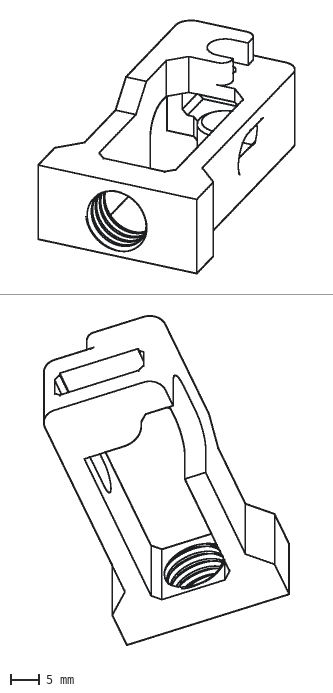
import cadquery as cq
import math

LENGTH = 53.25
FLANGE_WIDTH = 31.0
BODY_WIDTH = 23.0
LOW_HEIGHT = 15.0
FULL_HEIGHT = 19.5
FLANGE_LENGTH = 7.15
FLANGE_TAPER = (FLANGE_WIDTH - BODY_WIDTH) / 2
BACK_RADIUS = 3.0

WINDOW_WIDTH = 15.0
WINDOW_BACK = 40.5
WINDOW_BACK_CHAMFER = 3.0
WINDOW_FRONT_CHAMFER = 1.5

RAISED_RIGHT = 3.0
RAISED_CORNER_RADIUS = 2.0
RAMP_BOTTOM = 24.4
RAMP_LENGTH = FULL_HEIGHT - LOW_HEIGHT

PIN_Y = LENGTH - 7.0
PIN_DIAMETER = 3.8
PIN_HOLE_BOTTOM = 10.9
NOTCH_WIDTH = 6.4

SIDE_FRONT = 30.6
SIDE_BACK = 46.5
SIDE_HEIGHT = 12.25
SIDE_RADIUS = 5.0

SLOT_BOTTOM = 4.0
SLOT_HEIGHT = 7.0
SLOT_FRONT = 28.2
SLOT_BACK = 41.25
SLOT_RIM_RADIUS = 2.0

CHANNEL_FLOOR = 4.0
CHANNEL_TOP = 10.5
RAIL_TOP = 10.0
RAIL_DEPTH = 1.0

SEAT_RADIUS = 5.0
SEAT_RISE = 0.5
SEAT_TOP_RADIUS = 4.2
LEDGE_CHAMFER = 1.25

THREAD_Z = LOW_HEIGHT / 2
THREAD_PITCH = 1.75
THREAD_MINOR_RADIUS = 5.55
THREAD_MAJOR_RADIUS = 6.35
THREAD_ROOT_WIDTH = THREAD_PITCH / 8
THREAD_MOUTH_WIDTH = THREAD_PITCH * 0.75
THREAD_OVERLAP = 0.1
THREAD_START_ANGLE = 100.0


def box(x_range, y_range, z_range):
    size = [high - low for low, high in (x_range, y_range, z_range)]
    corner = (x_range[0], y_range[0], z_range[0])
    return cq.Workplane("XY").box(*size, centered=False).translate(corner)


def make_frame():
    half_flange = FLANGE_WIDTH / 2
    half_body = BODY_WIDTH / 2
    taper_end = FLANGE_LENGTH + FLANGE_TAPER
    right_side = [
        (half_flange, 0),
        (half_flange, FLANGE_LENGTH),
        (half_body, taper_end),
        (half_body, LENGTH),
    ]
    left_side = [(-x, y) for x, y in reversed(right_side)]
    frame = cq.Workplane("XY").polyline(right_side + left_side).close().extrude(FULL_HEIGHT)
    return frame.edges("|Z and >Y").fillet(BACK_RADIUS)


def make_window():
    window = box(
        (-WINDOW_WIDTH / 2, WINDOW_WIDTH / 2), (FLANGE_LENGTH, WINDOW_BACK), (0, FULL_HEIGHT)
    )
    window = window.edges("|Z and >Y").chamfer(WINDOW_BACK_CHAMFER)
    return window.edges("|Z and <Y").chamfer(WINDOW_FRONT_CHAMFER)


def make_step():
    """Material above the low top face that lies outside the raised part."""
    half_flange = FLANGE_WIDTH / 2
    ramp_top = RAMP_BOTTOM + RAMP_LENGTH
    strip = (
        cq.Workplane("YZ")
        .polyline([
            (RAMP_BOTTOM, LOW_HEIGHT),
            (ramp_top, FULL_HEIGHT),
            (LENGTH, FULL_HEIGHT),
            (LENGTH, LOW_HEIGHT),
        ])
        .close()
        .extrude(half_flange, both=True)
    )
    rear = box((-half_flange, RAISED_RIGHT), (WINDOW_BACK, LENGTH), (LOW_HEIGHT, FULL_HEIGHT))
    rear = rear.edges("|Z and >X").fillet(RAISED_CORNER_RADIUS)
    wall = box((-half_flange, 0), (RAMP_BOTTOM, LENGTH), (LOW_HEIGHT, FULL_HEIGHT))
    raised = strip.intersect(rear.union(wall)).cut(make_notch())
    return box((-half_flange, half_flange), (0, LENGTH), (LOW_HEIGHT, FULL_HEIGHT)).cut(raised)


def make_notch():
    half_width = NOTCH_WIDTH / 2
    round_end = (
        cq.Workplane("XY", origin=(0, PIN_Y, LOW_HEIGHT))
        .circle(half_width)
        .extrude(FULL_HEIGHT - LOW_HEIGHT)
    )
    mouth = box(
        (0, RAISED_RIGHT), (PIN_Y - half_width, PIN_Y + half_width), (LOW_HEIGHT, FULL_HEIGHT)
    )
    return round_end.union(mouth)


def make_pin_hole():
    return (
        cq.Workplane("XY", origin=(0, PIN_Y, PIN_HOLE_BOTTOM))
        .circle(PIN_DIAMETER / 2)
        .extrude(LOW_HEIGHT - PIN_HOLE_BOTTOM)
    )


def make_side_opening():
    opening = box((-BODY_WIDTH / 2, WINDOW_WIDTH / 2), (SIDE_FRONT, SIDE_BACK), (0, SIDE_HEIGHT))
    return opening.edges("|X and >Z").fillet(SIDE_RADIUS)


def make_wall_slot():
    """Slot along Y whose rim is rounded outward at the +X face of the wall."""
    wall_outside = BODY_WIDTH / 2
    wall_inside = WINDOW_WIDTH / 2
    center_y = (SLOT_FRONT + SLOT_BACK) / 2
    center_z = SLOT_BOTTOM + SLOT_HEIGHT / 2
    slot = (
        cq.Workplane("YZ", origin=(wall_inside, center_y, center_z))
        .slot2D(SLOT_BACK - SLOT_FRONT, SLOT_HEIGHT)
        .extrude(wall_outside - wall_inside)
    )
    wall = box((wall_inside, wall_outside), (0, LENGTH), (0, LOW_HEIGHT))
    rounded_wall = wall.cut(slot).faces(">X").edges("%CIRCLE").fillet(SLOT_RIM_RADIUS)
    return wall.cut(rounded_wall)


def make_channel():
    half_width = WINDOW_WIDTH / 2
    rail_x = half_width + RAIL_DEPTH
    right_side = [
        (half_width, CHANNEL_FLOOR),
        (rail_x, CHANNEL_FLOOR + RAIL_DEPTH),
        (rail_x, RAIL_TOP - RAIL_DEPTH),
        (half_width, RAIL_TOP),
        (half_width, CHANNEL_TOP),
    ]
    left_side = [(-x, z) for x, z in reversed(right_side)]
    start = SLOT_FRONT + SLOT_HEIGHT / 2
    channel = cq.Workplane("XZ").polyline(right_side + left_side).close().extrude(start - LENGTH)
    return channel.translate((0, start, 0))


def make_ledge():
    """Floor that reaches forward under the pin, rounded on its -X side."""
    front = PIN_Y - SEAT_RADIUS
    right = WINDOW_WIDTH / 2
    shoulder = SIDE_BACK - LEDGE_CHAMFER
    floor = (
        cq.Workplane("XY")
        .polyline([
            (-SEAT_RADIUS - LEDGE_CHAMFER, SIDE_BACK),
            (-SEAT_RADIUS, shoulder),
            (0, shoulder),
            (0, front),
            (right, front),
            (right, SIDE_BACK),
        ])
        .close()
        .extrude(CHANNEL_FLOOR)
    )
    nose = cq.Workplane("XY", origin=(0, PIN_Y, 0)).circle(SEAT_RADIUS).extrude(CHANNEL_FLOOR)
    return floor.union(nose)


def make_seat():
    """Low cone frustum."""
    seat = cq.Workplane("XY", origin=(0, PIN_Y, CHANNEL_FLOOR)).circle(SEAT_RADIUS)
    taper = math.degrees(math.atan2(SEAT_RADIUS - SEAT_TOP_RADIUS, SEAT_RISE))
    return seat.extrude(SEAT_RISE, taper=taper)


def make_threaded_hole():
    """Bore with a helical groove, both along +Y."""
    bore = cq.Workplane("XY").circle(THREAD_MINOR_RADIUS).extrude(FLANGE_LENGTH)
    helix_height = FLANGE_LENGTH + 2 * THREAD_PITCH
    helix = cq.Wire.makeHelix(THREAD_PITCH, helix_height, THREAD_MINOR_RADIUS)
    inner = THREAD_MINOR_RADIUS - THREAD_OVERLAP
    groove = (
        cq.Workplane("XZ")
        .polyline([
            (inner, -THREAD_MOUTH_WIDTH / 2),
            (THREAD_MAJOR_RADIUS, -THREAD_ROOT_WIDTH / 2),
            (THREAD_MAJOR_RADIUS, THREAD_ROOT_WIDTH / 2),
            (inner, THREAD_MOUTH_WIDTH / 2),
        ])
        .close()
        .sweep(cq.Workplane(helix), isFrenet=True)
        .translate((0, 0, -THREAD_PITCH))
    )
    flange_slab = cq.Workplane("XY").circle(FLANGE_WIDTH / 2).extrude(FLANGE_LENGTH)
    thread = bore.union(groove.intersect(flange_slab))
    thread = thread.rotate((0, 0, 0), (0, 0, 1), THREAD_START_ANGLE)
    return thread.rotate((0, 0, 0), (1, 0, 0), -90).translate((0, 0, THREAD_Z))


result = (
    make_frame()
    .cut(make_window())
    .cut(make_step())
    .cut(make_side_opening())
    .cut(make_wall_slot())
    .cut(make_pin_hole())
    .union(make_ledge())
    .cut(make_channel())
    .union(make_seat())
    .cut(make_threaded_hole())
)